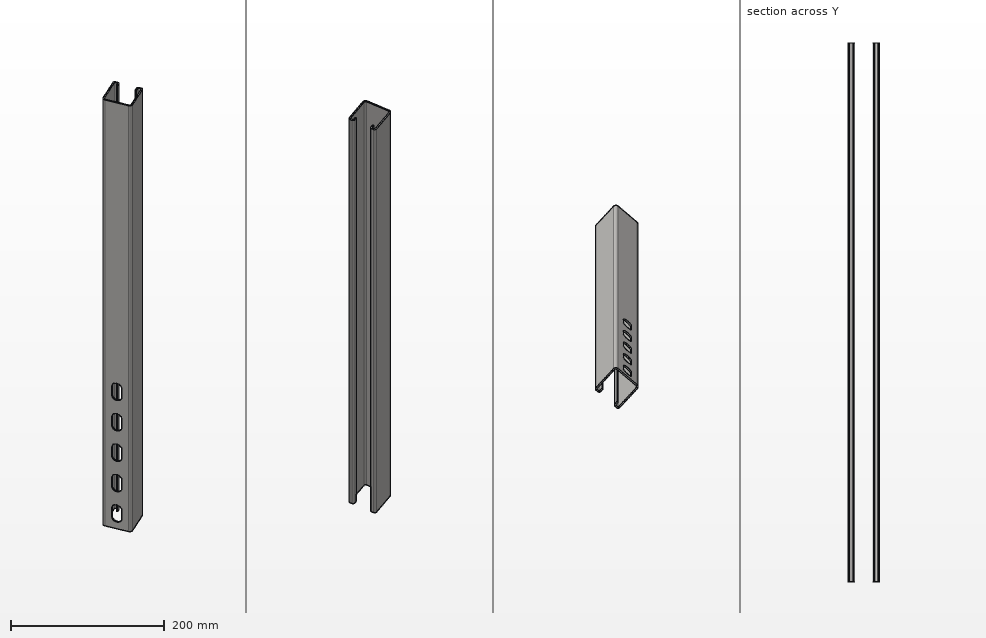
import cadquery as cq

length = 700.0
width = 41.0
depth = 41.0
sheet = 2.0

web_bend_radius = 4.0
lip_bend_radius = 3.0
lip_width = 8.5
lip_depth = 7.0

slot_length = 28.0
slot_width = 14.0
slot_count = 5
slot_pitch = length / 14
first_slot_height = slot_pitch / 2


def rounded_block(size_x, size_y, low_y, radius, edges):
    """Full-length block centred on X, starting at low_y, with chosen edges rounded."""
    block = cq.Workplane("XY").box(size_x, size_y, length, centered=(True, False, False))
    return block.edges(edges).fillet(radius).translate((0, low_y, 0))


def make_lip():
    """J-shaped lip on the +X flange, hooking inward and back toward the web."""
    top = depth / 2
    outer = rounded_block(lip_width, lip_depth, top - lip_depth, lip_bend_radius, "|Z and >Y")
    inner = rounded_block(
        lip_width - 2 * sheet,
        lip_depth - sheet,
        top - lip_depth,
        lip_bend_radius - sheet,
        "|Z and >Y",
    )
    return outer.cut(inner).translate(((width - lip_width) / 2, 0, 0))


def make_tray():
    """Web and two flanges, ending level with the free edges of the lips."""
    tray_depth = depth - lip_depth
    outer = rounded_block(width, tray_depth, -depth / 2, web_bend_radius, "|Z and <Y")
    inner = rounded_block(
        width - 2 * sheet,
        tray_depth - sheet,
        sheet - depth / 2,
        web_bend_radius - sheet,
        "|Z and <Y",
    )
    return outer.cut(inner)


def make_slots():
    """Cutters that pass through the web only."""
    centres = [(0, first_slot_height + i * slot_pitch) for i in range(slot_count)]
    return (
        cq.Workplane("XZ", origin=(0, -depth / 2, 0))
        .pushPoints(centres)
        .slot2D(slot_length, slot_width, 90)
        .extrude(-sheet)
    )


lip = make_lip()
channel = make_tray().union(lip).union(lip.mirror("YZ")).clean()
result = channel.cut(make_slots())